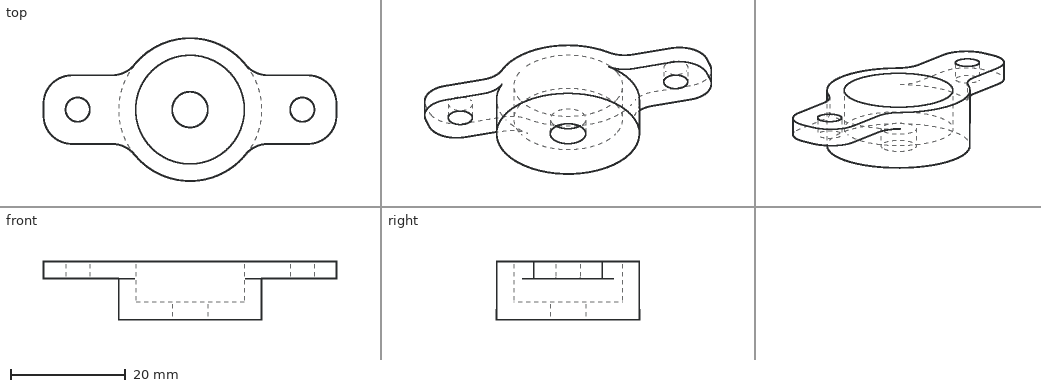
import cadquery as cq

length = 51.2
flange_thickness = 3.0
tab_width = 12.05
corner_radius = 5.0
blend_radius = 5.0
screw_hole_diameter = 4.2
screw_hole_spacing = 39.2

cup_diameter = 25.0
cup_height = 10.2
pocket_diameter = 19.0
floor_thickness = 3.2
shaft_hole_diameter = 6.2


def make_flange():
    """Rounded tab bar merged with a disc, with blended inner corners."""
    base = cq.Workplane("XY").workplane(offset=cup_height - flange_thickness)
    bar = base.rect(length, tab_width).extrude(flange_thickness).edges("|Z").fillet(corner_radius)
    disc = base.circle(cup_diameter / 2).extrude(flange_thickness)
    flange = bar.union(disc)
    reach = cup_diameter / 2
    inner_corners = cq.selectors.BoxSelector((-reach, -reach, 0), (reach, reach, cup_height))
    return flange.edges("|Z").edges(inner_corners).fillet(blend_radius)


def make_cup():
    """Solid cylinder that carries the pocket; its base sits on Z = 0."""
    return cq.Workplane("XY").circle(cup_diameter / 2).extrude(cup_height)


def make_bores():
    """Pocket from the top, central shaft hole and the two screw holes."""
    pocket = (
        cq.Workplane("XY")
        .workplane(offset=floor_thickness)
        .circle(pocket_diameter / 2)
        .extrude(cup_height - floor_thickness)
    )
    shaft_hole = cq.Workplane("XY").circle(shaft_hole_diameter / 2).extrude(cup_height)
    screw_holes = (
        cq.Workplane("XY")
        .pushPoints([(side * screw_hole_spacing / 2, 0) for side in (-1, 1)])
        .circle(screw_hole_diameter / 2)
        .extrude(cup_height)
    )
    return pocket.union(shaft_hole).union(screw_holes)


result = make_cup().union(make_flange()).cut(make_bores())